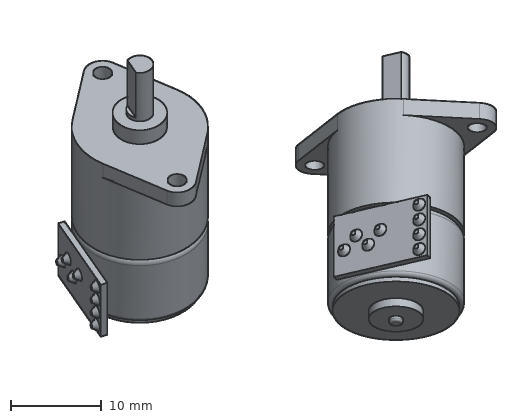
import cadquery as cq
import math

overall_length = 33.0
boss_height = 2.0
flange_thickness = 2.0
gearbox_length = 12.87
motor_length = 8.98
end_plate_thickness = 0.55
bearing_height = 1.02
tail_length = 0.55

gearbox_bottom = -gearbox_length
motor_bottom = gearbox_bottom - motor_length
end_plate_bottom = motor_bottom - end_plate_thickness
bearing_bottom = end_plate_bottom - bearing_height
tail_bottom = bearing_bottom - tail_length
shaft_top = tail_bottom + overall_length

case_radius = 15.0 / 2
motor_top_fillet = 0.8
motor_bottom_fillet = 0.5
end_plate_radius = 13.95 / 2
bearing_radius = 6.0 / 2
tail_radius = 1.55 / 2
tail_fillet = 0.3

shaft_radius = 3.0 / 2
flat_offset = 1.0
flat_clearance = 0.5

ear_spacing = 20.0
flange_span = 24.2
ear_radius = (flange_span - ear_spacing) / 2
ear_hole_diameter = 2.1

board_width = 11.5
board_height = 7.5
board_thickness = 0.8
board_left = -3.5
board_drop = 0.9
board_top = gearbox_bottom - board_drop
board_front = -case_radius - board_thickness

joint_base_radius = 1.5 / 2
joint_tip_radius = 0.53 / 2
joint_height = 0.7
joint_pitch = 1.5
first_joint_x = -2.25
staggered_joint_count = 4
upper_row_drop = 3.0
edge_joint_inset = 1.0
edge_joint_count = 4


def cylinder(radius, bottom, top):
    """Round bar on the shaft axis."""
    return cq.Workplane("XY").workplane(offset=bottom).circle(radius).extrude(top - bottom)


def make_flange():
    """Rhombic plate: a large circle joined to two ear circles by common tangents."""
    ear_x = ear_spacing / 2
    tangent_cos = (case_radius - ear_radius) / ear_x
    tangent_sin = math.sqrt(1 - tangent_cos**2)
    case_x = case_radius * tangent_cos
    case_y = case_radius * tangent_sin
    ear_end_x = ear_x + ear_radius * tangent_cos
    ear_end_y = ear_radius * tangent_sin
    tip_x = ear_x + ear_radius
    return (
        cq.Workplane("XY")
        .moveTo(case_x, case_y)
        .lineTo(ear_end_x, ear_end_y)
        .threePointArc((tip_x, 0), (ear_end_x, -ear_end_y))
        .lineTo(case_x, -case_y)
        .threePointArc((0, -case_radius), (-case_x, -case_y))
        .lineTo(-ear_end_x, -ear_end_y)
        .threePointArc((-tip_x, 0), (-ear_end_x, ear_end_y))
        .lineTo(-case_x, case_y)
        .threePointArc((0, case_radius), (case_x, case_y))
        .close()
        .extrude(-flange_thickness)
        .faces(">Z")
        .workplane(origin=(0, 0, 0))
        .pushPoints([(-ear_x, 0), (ear_x, 0)])
        .hole(ear_hole_diameter)
    )


def make_shaft():
    """D-shaped output shaft, left fully round just above the boss."""
    shaft = cylinder(shaft_radius, 0, shaft_top)
    flat_bottom = boss_height + flat_clearance
    flat_cut = cq.Workplane("XY").box(
        2 * shaft_radius, shaft_radius, shaft_top - flat_bottom, centered=(True, False, False)
    ).translate((0, -flat_offset - shaft_radius, flat_bottom))
    return shaft.cut(flat_cut)


def make_motor_case():
    """Motor can with both rims rounded, so a groove shows below the gearbox."""
    case = cylinder(case_radius, motor_bottom, gearbox_bottom)
    case = case.faces(">Z").edges().fillet(motor_top_fillet)
    return case.faces("<Z").edges().fillet(motor_bottom_fillet)


def make_gearmotor():
    """Gearbox, flange, motor and shaft parts as one solid."""
    tail = cylinder(tail_radius, tail_bottom, bearing_bottom).faces("<Z").edges().fillet(tail_fillet)
    return (
        cylinder(case_radius, gearbox_bottom, 0)
        .union(make_flange())
        .union(cylinder(bearing_radius, 0, boss_height))
        .union(make_shaft())
        .union(make_motor_case())
        .union(cylinder(end_plate_radius, end_plate_bottom, motor_bottom))
        .union(cylinder(bearing_radius, bearing_bottom, end_plate_bottom))
        .union(tail)
    )


def joint_positions():
    """X and Z of the staggered joints, then of the column along the right edge."""
    upper_row = board_top - upper_row_drop
    lower_row = upper_row - joint_pitch
    staggered = [
        (first_joint_x + i * joint_pitch, lower_row if i % 2 == 0 else upper_row)
        for i in range(staggered_joint_count)
    ]
    column_x = board_left + board_width - edge_joint_inset
    column_pitch = (board_height - 2 * edge_joint_inset) / (edge_joint_count - 1)
    column = [(column_x, board_top - edge_joint_inset - i * column_pitch) for i in range(edge_joint_count)]
    return staggered + column


def make_board():
    """Circuit board with a solder cone at each joint."""
    board = cq.Workplane("XY").box(
        board_width, board_thickness, board_height, centered=False
    ).translate((board_left, board_front, board_top - board_height))
    for x, z in joint_positions():
        joint = cq.Solid.makeCone(
            joint_base_radius, joint_tip_radius, joint_height,
            pnt=cq.Vector(x, board_front, z), dir=cq.Vector(0, -1, 0),
        )
        board = board.union(cq.Workplane(joint))
    return board


gearmotor = make_gearmotor()
board = make_board()
result = cq.Compound.makeCompound([gearmotor.val(), board.val()])